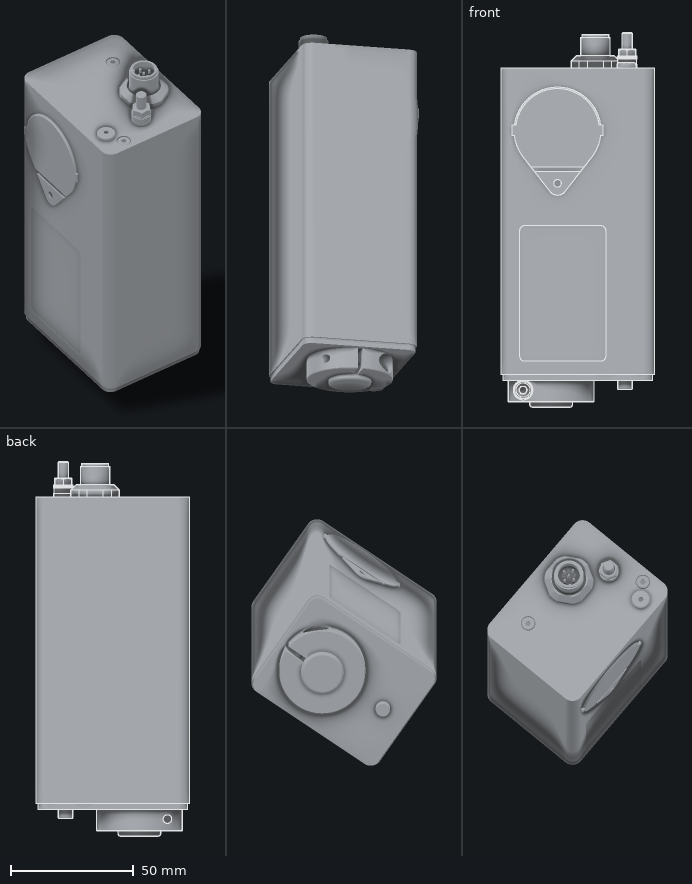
import cadquery as cq
import math

HOUSING_WIDTH = 62.5
HOUSING_DEPTH = 48.2
HOUSING_HEIGHT = 124.9
CORNER_RADIUS = 4.4
TOP = HOUSING_HEIGHT
FRONT = -HOUSING_DEPTH / 2

BASE_INSET_X = 0.8
BASE_INSET_Y = 0.5
BASE_THICKNESS = 2.5
BASE_CORNER_RADIUS = 4.0
UNDERSIDE = -BASE_THICKNESS

HUB_X, HUB_Y = -10.8, -0.2
HUB_DIAMETER = 35.0
HUB_HEIGHT = 8.7
HUB_EDGE_CHAMFER = 0.3
SHAFT_DIAMETER = 17.5
SHAFT_LENGTH = 2.1
SHAFT_FILLET = 1.2
CLAMP_SLOT_WIDTH = 2.1
CLAMP_SCREW_X = HUB_X - 11.5
CLAMP_SCREW_DROP = 3.8
CLAMP_HEAD_BORE = 8.0
CLAMP_HEAD_DIAMETER = 7.0
CLAMP_HEAD_HEIGHT = 4.0
CLAMP_HEAD_SEAT_Y = -4.5
CLAMP_THREAD_DIAMETER = 3.5
CLAMP_THREAD_END_Y = 6.1
CLAMP_HEAD_CHAMFER = 0.6
CLAMP_SOCKET_ACROSS_CORNERS = 3.5
CLAMP_SOCKET_DEPTH = 1.5
CLAMP_SOCKET_POINT_DEPTH = 0.9

PIN_X, PIN_Y = 19.2, 0.0
PIN_DIAMETER = 6.0
PIN_LENGTH = 3.7
PIN_FILLET = 0.5

CONNECTOR_X, CONNECTOR_Y = 7.2, 10.5
COLLAR_DIAMETER = 20.0
COLLAR_ACROSS_FLATS = 18.9
COLLAR_HEIGHT = 5.0
COLLAR_CHAMFER = 2.3
COLLAR_BORE = 14.0
COLLAR_BORE_DEPTH = 3.0
BARREL_DIAMETER = 12.0
BARREL_TOP = 12.4
RIM_DIAMETER = 11.0
RIM_TOP = 13.5
SOCKET_BORE = 9.0
SOCKET_DEPTH = 7.6
KEY_DIAMETER = 1.0
KEY_ANGLE = 225
CONTACT_DIAMETER = 1.0
CONTACT_HEIGHT = 6.1
CONTACT_CHAMFER = 0.3
CONTACT_CIRCLE_RADIUS = 2.6

STUD_X, STUD_Y = 20.1, 0.2
STUD_DIAMETER = 4.3
STUD_TOP = 14.3
STUD_TIP_CHAMFER = 0.38
STUD_WASHER_DIAMETER = 8.0
STUD_WASHER_TOP = 1.4
STUD_SLEEVE_DIAMETER = 7.8
STUD_SLEEVE_TOP = 3.7
STUD_LOCK_WASHER_TOP = 4.9
LOCK_GROOVE_DIAMETER = 7.0
LOCK_GROOVE_WIDTH = 0.5
NUT_ACROSS_FLATS = 7.0
NUT_TOP = 7.8
NUT_CHAMFER_HEIGHT = 0.6
NUT_CHAMFER_DIAMETER = 6.3

SUNK_SCREW_PLACES = [(-17.0, 12.0), (26.2, -12.8)]
SUNK_BORE = 6.0
SUNK_BORE_DEPTH = 0.9
SUNK_HEAD_DIAMETER = 5.5
SUNK_HEAD_CHAMFER = 0.3
SUNK_HEAD_RECESS = 0.2
SUNK_SOCKET_ACROSS_CORNERS = 2.3
SUNK_SOCKET_DEPTH = 0.6

BUTTON_X, BUTTON_Y = 19.8, -17.1
BUTTON_DIAMETER = 7.6
BUTTON_HEIGHT = 2.1
BUTTON_FILLET = 0.84
BUTTON_HOLE = 2.0
BUTTON_HOLE_DEPTH = 1.2

COVER_X = -8.2
COVER_Z = TOP - 25.5
COVER_THICKNESS = 1.0
COVER_RADIUS = 17.7
COVER_TIP_RADIUS = 3.8
COVER_TIP_DROP = 22.5
COVER_CHAMFER = 0.6
COVER_EAR_REACH = 18.6
COVER_EAR_HEIGHT = 4.3
COVER_GROOVE_DROP = 14.8
COVER_GROOVE_WIDTH = 1.8
COVER_GROOVE_DEPTH = 0.9
COVER_HOLE_DROP = 21.5
COVER_HOLE_DIAMETER = 3.0

LABEL_LEFT, LABEL_RIGHT = -23.6, 11.5
LABEL_TOP, LABEL_BOTTOM = TOP - 64.2, TOP - 119.4
LABEL_CORNER = 2.1
LABEL_DEPTH = 0.2


def cylinder(x, y, bottom, diameter, top):
    """Upright cylinder between two heights."""
    return cq.Workplane("XY", origin=(x, y, bottom)).circle(diameter / 2).extrude(top - bottom)


def cylinder_along_y(x, z, start_y, diameter, end_y):
    """Cylinder lying along Y between two Y places."""
    length = end_y - start_y
    return cq.Workplane("XZ", origin=(x, start_y, z)).circle(diameter / 2).extrude(-length)


def hexagon(x, y, bottom, corner_size, top, turn=0):
    """Upright hexagonal prism; a corner points along +X before the turn."""
    plane = cq.Workplane("XY", origin=(x, y, bottom)).transformed(rotate=(0, 0, turn))
    return plane.polygon(6, corner_size).extrude(top - bottom)


def across_corners(across_flats):
    """Corner-to-corner size of a hexagon from its flat-to-flat size."""
    return across_flats / math.cos(math.pi / 6)


def make_housing():
    block = cq.Workplane("XY").rect(HOUSING_WIDTH, HOUSING_DEPTH).extrude(HOUSING_HEIGHT)
    base = (
        cq.Workplane("XY", origin=(0, 0, UNDERSIDE))
        .rect(HOUSING_WIDTH - 2 * BASE_INSET_X, HOUSING_DEPTH - 2 * BASE_INSET_Y)
        .extrude(BASE_THICKNESS)
    )
    return block.edges("|Z").fillet(CORNER_RADIUS).union(base.edges("|Z").fillet(BASE_CORNER_RADIUS))


def make_hub():
    """Split clamping hub with its cross screw, and the shaft end below it."""
    hub_bottom = UNDERSIDE - HUB_HEIGHT
    shaft_bottom = hub_bottom - SHAFT_LENGTH
    screw_z = UNDERSIDE - CLAMP_SCREW_DROP
    hub_front = HUB_Y - HUB_DIAMETER / 2
    hub_back = HUB_Y + HUB_DIAMETER / 2

    hub = cylinder(HUB_X, HUB_Y, hub_bottom, HUB_DIAMETER, UNDERSIDE)
    hub = hub.faces("<Z").edges().chamfer(HUB_EDGE_CHAMFER)
    slot = (
        cq.Workplane("XY", origin=(HUB_X - HUB_DIAMETER / 4, HUB_Y, hub_bottom))
        .rect(HUB_DIAMETER / 2, CLAMP_SLOT_WIDTH)
        .extrude(HUB_HEIGHT)
    )
    head_bore = cylinder_along_y(CLAMP_SCREW_X, screw_z, hub_front, CLAMP_HEAD_BORE, CLAMP_HEAD_SEAT_Y)
    thread_bore = cylinder_along_y(
        CLAMP_SCREW_X, screw_z, CLAMP_HEAD_SEAT_Y, CLAMP_THREAD_DIAMETER, hub_back
    )
    hub = hub.cut(slot).cut(head_bore).cut(thread_bore)

    head_front = CLAMP_HEAD_SEAT_Y - CLAMP_HEAD_HEIGHT
    head = cylinder_along_y(CLAMP_SCREW_X, screw_z, head_front, CLAMP_HEAD_DIAMETER, CLAMP_HEAD_SEAT_Y)
    head = head.faces("<Y").edges().chamfer(CLAMP_HEAD_CHAMFER)
    socket = (
        cq.Workplane("XZ", origin=(CLAMP_SCREW_X, head_front, screw_z))
        .polygon(6, CLAMP_SOCKET_ACROSS_CORNERS)
        .extrude(-CLAMP_SOCKET_DEPTH)
    )
    point_radius = CLAMP_SOCKET_ACROSS_CORNERS / 2 * math.cos(math.pi / 6)
    point = cq.Workplane(
        cq.Solid.makeCone(
            point_radius,
            0,
            CLAMP_SOCKET_POINT_DEPTH,
            cq.Vector(CLAMP_SCREW_X, head_front + CLAMP_SOCKET_DEPTH, screw_z),
            cq.Vector(0, 1, 0),
        )
    )
    thread = cylinder_along_y(
        CLAMP_SCREW_X, screw_z, CLAMP_HEAD_SEAT_Y, CLAMP_THREAD_DIAMETER, CLAMP_THREAD_END_Y
    )
    shaft = cylinder(HUB_X, HUB_Y, shaft_bottom, SHAFT_DIAMETER, UNDERSIDE)
    shaft = shaft.faces("<Z").edges().fillet(SHAFT_FILLET)
    return hub.union(shaft).union(head.cut(socket).cut(point)).union(thread)


def make_pin():
    pin = cylinder(PIN_X, PIN_Y, UNDERSIDE - PIN_LENGTH, PIN_DIAMETER, UNDERSIDE)
    return pin.faces("<Z").edges().fillet(PIN_FILLET)


def make_connector():
    """Collar, barrel with a stepped rim, and a keyed socket holding five contacts."""
    collar = cylinder(CONNECTOR_X, CONNECTOR_Y, TOP, COLLAR_DIAMETER, TOP + COLLAR_HEIGHT)
    flats = hexagon(
        CONNECTOR_X, CONNECTOR_Y, TOP, across_corners(COLLAR_ACROSS_FLATS), TOP + COLLAR_HEIGHT
    )
    collar = collar.intersect(flats)
    collar = collar.faces(">Z").edges().chamfer(COLLAR_CHAMFER)
    collar_top = TOP + COLLAR_HEIGHT
    collar = collar.cut(
        cylinder(CONNECTOR_X, CONNECTOR_Y, collar_top - COLLAR_BORE_DEPTH, COLLAR_BORE, collar_top)
    )
    barrel = cylinder(CONNECTOR_X, CONNECTOR_Y, TOP, BARREL_DIAMETER, TOP + BARREL_TOP)
    rim = cylinder(CONNECTOR_X, CONNECTOR_Y, TOP, RIM_DIAMETER, TOP + RIM_TOP)
    floor = TOP + RIM_TOP - SOCKET_DEPTH
    bore = cylinder(CONNECTOR_X, CONNECTOR_Y, floor, SOCKET_BORE, TOP + RIM_TOP)
    connector = collar.union(barrel).union(rim).cut(bore)

    key_reach = SOCKET_BORE / 2 - KEY_DIAMETER / 4
    key_x = CONNECTOR_X + key_reach * math.cos(math.radians(KEY_ANGLE))
    key_y = CONNECTOR_Y + key_reach * math.sin(math.radians(KEY_ANGLE))
    connector = connector.union(cylinder(key_x, key_y, floor, KEY_DIAMETER, TOP + BARREL_TOP))

    outer = CONTACT_CIRCLE_RADIUS
    for dx, dy in [(0, 0), (outer, 0), (0, outer), (-outer, 0), (0, -outer)]:
        contact = cylinder(
            CONNECTOR_X + dx, CONNECTOR_Y + dy, floor, CONTACT_DIAMETER, floor + CONTACT_HEIGHT
        )
        contact = contact.faces(">Z").edges().chamfer(CONTACT_CHAMFER)
        connector = connector.union(contact)
    return connector


def make_stud():
    """Stud carrying a washer, a sleeve, a grooved lock washer and a hexagonal nut."""
    stud = cylinder(STUD_X, STUD_Y, TOP, STUD_DIAMETER, TOP + STUD_TOP)
    stud = stud.faces(">Z").edges().chamfer(STUD_TIP_CHAMFER)
    washer = cylinder(STUD_X, STUD_Y, TOP, STUD_WASHER_DIAMETER, TOP + STUD_WASHER_TOP)
    sleeve = cylinder(STUD_X, STUD_Y, TOP, STUD_SLEEVE_DIAMETER, TOP + STUD_SLEEVE_TOP)
    lock_washer = cylinder(
        STUD_X, STUD_Y, TOP + STUD_SLEEVE_TOP, STUD_WASHER_DIAMETER, TOP + STUD_LOCK_WASHER_TOP
    )
    groove_bottom = TOP + (STUD_SLEEVE_TOP + STUD_LOCK_WASHER_TOP - LOCK_GROOVE_WIDTH) / 2
    groove_top = groove_bottom + LOCK_GROOVE_WIDTH
    groove = cylinder(STUD_X, STUD_Y, groove_bottom, STUD_WASHER_DIAMETER, groove_top)
    groove = groove.cut(cylinder(STUD_X, STUD_Y, groove_bottom, LOCK_GROOVE_DIAMETER, groove_top))
    lock_washer = lock_washer.cut(groove)
    nut_bottom = TOP + STUD_LOCK_WASHER_TOP
    nut = hexagon(STUD_X, STUD_Y, nut_bottom, across_corners(NUT_ACROSS_FLATS), TOP + NUT_TOP, 90)
    corner_width = (across_corners(NUT_ACROSS_FLATS) - NUT_CHAMFER_DIAMETER) / 2
    trim = cylinder(STUD_X, STUD_Y, nut_bottom, across_corners(NUT_ACROSS_FLATS), TOP + NUT_TOP)
    trim = trim.faces(">Z").edges().chamfer(NUT_CHAMFER_HEIGHT, corner_width)
    return stud.union(washer).union(sleeve).union(lock_washer).union(nut.intersect(trim))


def sink_screw(body, x, y):
    """Bore a seat in the top face and fill it with a socket-head screw."""
    seat = TOP - SUNK_BORE_DEPTH
    head_top = TOP - SUNK_HEAD_RECESS
    head = cylinder(x, y, seat, SUNK_HEAD_DIAMETER, head_top)
    head = head.faces(">Z").edges().chamfer(SUNK_HEAD_CHAMFER)
    socket = hexagon(x, y, head_top - SUNK_SOCKET_DEPTH, SUNK_SOCKET_ACROSS_CORNERS, head_top)
    return body.cut(cylinder(x, y, seat, SUNK_BORE, TOP)).union(head.cut(socket))


def make_button():
    button_top = TOP + BUTTON_HEIGHT
    button = cylinder(BUTTON_X, BUTTON_Y, TOP, BUTTON_DIAMETER, button_top)
    button = button.faces(">Z").edges().fillet(BUTTON_FILLET)
    hole = cylinder(BUTTON_X, BUTTON_Y, button_top - BUTTON_HOLE_DEPTH, BUTTON_HOLE, button_top)
    return button.cut(hole)


def front_plane(x, z):
    """Workplane on the front face; extruding goes outward."""
    return cq.Workplane("XZ", origin=(x, FRONT, z))


def make_cover():
    """Teardrop plate: a large circle joined to a small tip circle by tangent lines."""
    lean = math.asin((COVER_RADIUS - COVER_TIP_RADIUS) / COVER_TIP_DROP)
    side_x, side_z = math.cos(lean), -math.sin(lean)
    upper = (COVER_RADIUS * side_x, COVER_RADIUS * side_z)
    lower = (COVER_TIP_RADIUS * side_x, COVER_TIP_RADIUS * side_z - COVER_TIP_DROP)
    cover = (
        front_plane(COVER_X, COVER_Z)
        .moveTo(-upper[0], upper[1])
        .threePointArc((0, COVER_RADIUS), upper)
        .lineTo(*lower)
        .threePointArc((0, -COVER_TIP_DROP - COVER_TIP_RADIUS), (-lower[0], lower[1]))
        .close()
        .extrude(COVER_THICKNESS)
    )
    bevelled = (
        front_plane(COVER_X, COVER_Z)
        .circle(COVER_RADIUS)
        .extrude(COVER_THICKNESS)
        .faces("<Y")
        .edges()
        .chamfer(COVER_CHAMFER)
    )
    upper_half = (
        front_plane(COVER_X, COVER_Z)
        .center(0, COVER_RADIUS / 2)
        .rect(2 * COVER_RADIUS, COVER_RADIUS)
        .extrude(COVER_THICKNESS)
    )
    cover = cover.cut(upper_half).union(bevelled.intersect(upper_half))

    ears = (
        front_plane(COVER_X, COVER_Z)
        .rect(2 * COVER_EAR_REACH, COVER_EAR_HEIGHT)
        .extrude(COVER_THICKNESS)
    )
    groove = (
        front_plane(COVER_X, COVER_Z - COVER_GROOVE_DROP - COVER_GROOVE_WIDTH / 2)
        .workplane(offset=COVER_THICKNESS - COVER_GROOVE_DEPTH)
        .rect(2 * COVER_RADIUS, COVER_GROOVE_WIDTH)
        .extrude(COVER_GROOVE_DEPTH)
    )
    hole = (
        front_plane(COVER_X, COVER_Z - COVER_HOLE_DROP)
        .circle(COVER_HOLE_DIAMETER / 2)
        .extrude(COVER_THICKNESS)
    )
    return cover.union(ears).cut(groove).cut(hole)


def make_label_recess():
    recess = (
        front_plane((LABEL_LEFT + LABEL_RIGHT) / 2, (LABEL_TOP + LABEL_BOTTOM) / 2)
        .rect(LABEL_RIGHT - LABEL_LEFT, LABEL_TOP - LABEL_BOTTOM)
        .extrude(-LABEL_DEPTH)
    )
    return recess.edges("|Y").fillet(LABEL_CORNER)


body = make_housing().cut(make_label_recess())
for screw_x, screw_y in SUNK_SCREW_PLACES:
    body = sink_screw(body, screw_x, screw_y)
for feature in [make_hub(), make_pin(), make_connector(), make_stud(), make_button(), make_cover()]:
    body = body.union(feature)

result = body